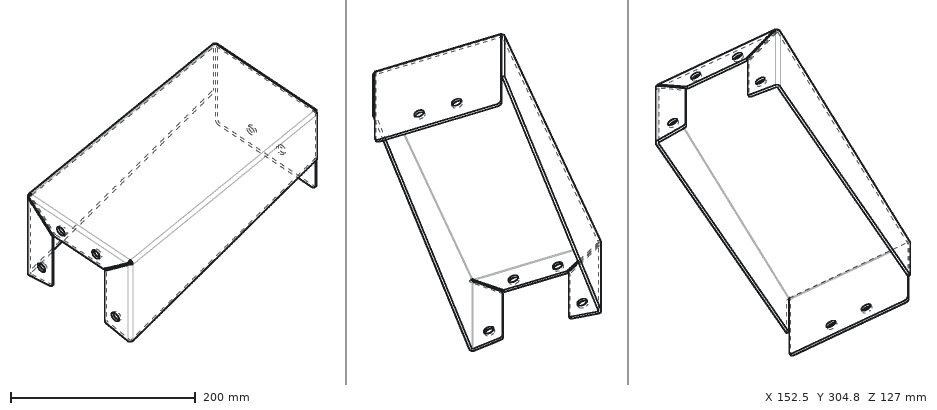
import cadquery as cq

width = 152.5
length = 304.8
height = 127.0
thickness = 3.0
outer_bend = 4.0
inner_bend = outer_bend - thickness

wall_depth_back = 76.2
wall_back = length - thickness

back_plate_inset = 3.5
back_plate_corner = 5.0

flange_reach = 37.8
mitre_start = 5.5
mitre_end = 39.5
side_flange_rise = 5.8
flange_corner = 3.5

hole_diameter = 11.3
top_hole_offset = 25.5
top_hole_depth = 22.5
side_hole_offset = 54.0
back_hole_offset = 21.5
lower_hole_depth = 101.8

half_width = width / 2
bend_x = half_width - outer_bend
bend_z = height - outer_bend


def make_channel():
    """Top panel with both side walls, cut to the sloping lower edges."""
    run = wall_back - outer_bend
    outer = (
        cq.Workplane("XY")
        .box(width, run, height, centered=(True, False, False))
        .edges("|Y and >Z")
        .fillet(outer_bend)
    )
    inner = (
        cq.Workplane("XY")
        .box(width - 2 * thickness, run, height - thickness, centered=(True, False, False))
        .edges("|Y and >Z")
        .fillet(inner_bend)
    )
    side_outline = (
        cq.Workplane("YZ")
        .polyline([
            (outer_bend, 0),
            (wall_back, height - wall_depth_back),
            (wall_back, height),
            (outer_bend, height),
        ])
        .close()
        .extrude(half_width, both=True)
    )
    return outer.cut(inner).translate((0, outer_bend, 0)).intersect(side_outline)


def rounded_bar(reach, span, radius):
    """Bar along X, deeper than the bend, with its upper front edge rounded."""
    bar = cq.Workplane("XY").box(span, 2 * outer_bend, reach, centered=(True, False, False))
    return bar.faces("<Y").edges(">Z").fillet(radius)


def make_angle(reach, span):
    """Sheet bent about X: hangs down from the bend at Y = 0, Z = height, centred on X."""
    outer = rounded_bar(reach, span, outer_bend)
    inner = rounded_bar(reach - thickness, span, inner_bend).translate((0, thickness, 0))
    bend_zone = cq.Workplane("XY").box(span, outer_bend, reach, centered=(True, False, False))
    return outer.cut(inner).intersect(bend_zone).translate((0, 0, height - reach))


def drill(body, offset, depth, start):
    """Drill a mirrored pair of holes along Y through the sheet beginning at Y = start."""
    for x in (-offset, offset):
        hole = cq.Workplane("XY").circle(hole_diameter / 2).extrude(thickness)
        hole = hole.rotate((0, 0, 0), (1, 0, 0), -90)
        body = body.cut(hole.translate((x, start, height - depth)))
    return body


def extrude_outline(points):
    """Prism along Y over the full length, from points in X and Z."""
    return cq.Workplane("XZ").polyline(points).close().extrude(-length)


def make_top_flange():
    """Front flange folded down from the top panel, with mitred ends."""
    lower_x = half_width - mitre_end
    upper_x = half_width - mitre_start
    outline = extrude_outline([
        (-lower_x, height - flange_reach),
        (lower_x, height - flange_reach),
        (upper_x, bend_z),
        (bend_x, bend_z),
        (bend_x, height),
        (-bend_x, height),
        (-bend_x, bend_z),
        (-upper_x, bend_z),
    ])
    return make_angle(flange_reach, 2 * bend_x).intersect(outline)


def make_side_flange():
    """Front flange folded inward from the side wall at negative X."""
    angle = (
        make_angle(flange_reach, bend_z)
        .rotate((0, 0, 0), (0, 1, 0), -90)
        .translate((height - half_width, 0, bend_z / 2))
    )
    inner_x = flange_reach - half_width
    outline = extrude_outline([
        (-half_width, 0),
        (-bend_x, 0),
        (inner_x, side_flange_rise),
        (inner_x, height - mitre_end),
        (-bend_x, height - mitre_start),
        (-bend_x, bend_z),
        (-half_width, bend_z),
    ])
    flange = angle.intersect(outline)
    free_corner = cq.selectors.NearestToPointSelector((inner_x, thickness / 2, side_flange_rise))
    return flange.edges(free_corner).fillet(flange_corner)


def make_back_plate():
    """Full-height plate folded down from the back of the top panel."""
    plate = make_angle(height, width - 2 * back_plate_inset)
    plate = plate.edges("|Y and <Z").fillet(back_plate_corner)
    return plate.mirror("XZ").translate((0, length, 0))


left_flange = make_side_flange()
result = (
    make_channel()
    .union(make_top_flange())
    .union(left_flange)
    .union(left_flange.mirror("YZ"))
    .union(make_back_plate())
)
result = drill(result, top_hole_offset, top_hole_depth, 0)
result = drill(result, side_hole_offset, lower_hole_depth, 0)
result = drill(result, back_hole_offset, lower_hole_depth, length - thickness)